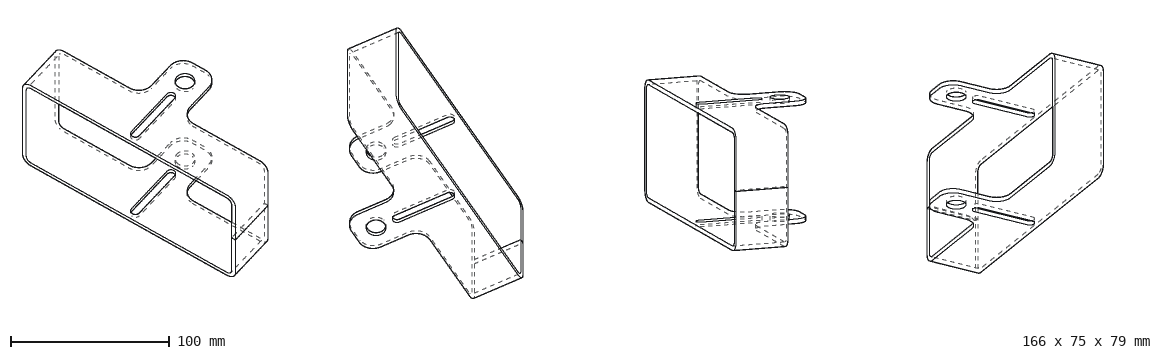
import cadquery as cq

length = 166.0
height = 79.0
band_width = 35.0
thickness = 3.0
outer_bend_radius = 7.0
inner_bend_radius = outer_bend_radius - thickness

total_depth = 75.0
tab_width = 30.0
tab_corner_radius = 10.0
tab_root_radius = 10.0
hole_diameter = 12.5
hole_to_tab_end = 15.0

slot_width = 6.0
slot_length = 44.0
slot_to_front = 4.0

joint_gap = 0.1


def rounded_bar(bar_length, bar_height, radius):
    """Solid bar along +Y from the front face, with rounded long edges."""
    return (
        cq.Workplane("XZ")
        .rect(bar_length, bar_height)
        .extrude(-band_width)
        .edges("|Y")
        .fillet(radius)
    )


def make_band():
    outside = rounded_bar(length, height, outer_bend_radius)
    inside = rounded_bar(length - 2 * thickness, height - 2 * thickness, inner_bend_radius)
    return outside.cut(inside)


def make_tab(bottom_z):
    """Tab plate with rounded free corners and flared concave roots."""
    half_width = tab_width / 2
    corner_x = half_width - tab_corner_radius
    corner_y = total_depth - tab_corner_radius
    root_x = half_width + tab_root_radius
    root_y = band_width + tab_root_radius
    return (
        cq.Workplane("XY", origin=(0, 0, bottom_z))
        .moveTo(-root_x, band_width)
        .radiusArc((-half_width, root_y), -tab_root_radius)
        .lineTo(-half_width, corner_y)
        .radiusArc((-corner_x, total_depth), tab_corner_radius)
        .lineTo(corner_x, total_depth)
        .radiusArc((half_width, corner_y), tab_corner_radius)
        .lineTo(half_width, root_y)
        .radiusArc((root_x, band_width), -tab_root_radius)
        .close()
        .extrude(thickness)
    )


def make_openings():
    """Hole and slot cutters passing through both walls."""
    base = cq.Workplane("XY", origin=(0, 0, -height / 2))
    hole = base.center(0, total_depth - hole_to_tab_end).circle(hole_diameter / 2).extrude(height)
    slot = (
        base.center(0, slot_to_front + slot_length / 2)
        .slot2D(slot_length, slot_width, 90)
        .extrude(height)
    )
    return hole.union(slot)


def make_joint():
    """Slit cutter through the +X wall over the full band width."""
    return cq.Workplane("XY").box(thickness, band_width, joint_gap).translate(
        (length / 2 - thickness / 2, band_width / 2, 0)
    )


result = make_band()
for tab_bottom in (-height / 2, height / 2 - thickness):
    result = result.union(make_tab(tab_bottom))
result = result.cut(make_openings()).cut(make_joint())